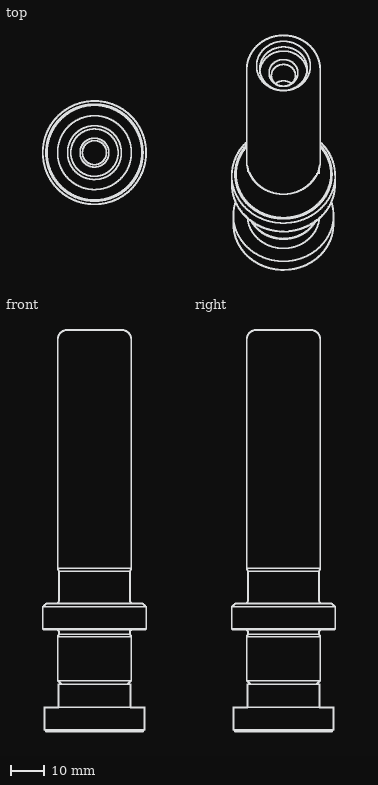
import cadquery as cq
import math

total_height = 120.0
head_height = 7.2
pin_bottom = 14.2
collar_bottom = 30.4
collar_top = 38.3

pin_radius = 11.0
relief_radius = 10.7
tip_round = 3.0
relief_top = 47.9
relief_shoulder = 0.8
root_round = 0.7
lower_relief_width = 1.3
lower_relief_shoulder = 0.7
lower_root_round = 0.5
end_chamfer = 1.1

collar_radius = 15.5
collar_top_chamfer = 1.0
collar_lip_width = 0.4
collar_lip_height = 0.1
collar_bottom_chamfer = 0.4

mouth_radius = pin_radius - tip_round
recess_radius = 7.1
mouth_taper_depth = 2.0
recess_depth = 5.2
bore_radius = 3.6
bore_mouth_radius = 4.3
bore_shoulder_radius = 4.0
bore_mouth_depth = 1.1
bore_taper_depth = 1.0
bore_depth = 14.4
drill_point_angle = 120.0

cap_head_radius = 15.0
cap_neck_radius = 10.8
cap_chamfer = 0.6

ARC_MIDPOINT = math.sqrt(0.5)


def make_guide_pin():
    """Revolve the collared pin, with its stepped blind hole, about Z."""
    lower_root = collar_bottom - lower_root_round
    lower_relief_bottom = collar_bottom - lower_relief_width
    lip_bottom = collar_top - collar_lip_height
    lip_radius = collar_radius - collar_top_chamfer
    recess_floor = total_height - recess_depth
    taper_top = recess_floor - bore_mouth_depth
    bore_floor = recess_floor - bore_depth
    point_depth = bore_radius / math.tan(math.radians(drill_point_angle / 2))
    tip_start = total_height - tip_round
    root_inset = root_round * (1 - ARC_MIDPOINT)
    lower_root_inset = lower_root_round * (1 - ARC_MIDPOINT)

    profile = (
        cq.Workplane("XZ")
        .moveTo(0, pin_bottom)
        .lineTo(pin_radius - end_chamfer, pin_bottom)
        .lineTo(pin_radius, pin_bottom + end_chamfer)
        .lineTo(pin_radius, lower_relief_bottom - lower_relief_shoulder)
        .lineTo(relief_radius, lower_relief_bottom)
        .lineTo(relief_radius, lower_root)
        .threePointArc(
            (relief_radius + lower_root_inset, collar_bottom - lower_root_inset),
            (relief_radius + lower_root_round, collar_bottom),
        )
        .lineTo(collar_radius - collar_bottom_chamfer, collar_bottom)
        .lineTo(collar_radius, collar_bottom + collar_bottom_chamfer)
        .lineTo(collar_radius, lip_bottom - collar_top_chamfer)
        .lineTo(lip_radius, lip_bottom)
        .lineTo(lip_radius - collar_lip_width, collar_top)
        .lineTo(relief_radius + root_round, collar_top)
        .threePointArc(
            (relief_radius + root_inset, collar_top + root_inset),
            (relief_radius, collar_top + root_round),
        )
        .lineTo(relief_radius, relief_top)
        .lineTo(pin_radius, relief_top + relief_shoulder)
        .lineTo(pin_radius, tip_start)
        .threePointArc(
            (mouth_radius + tip_round * ARC_MIDPOINT, tip_start + tip_round * ARC_MIDPOINT),
            (mouth_radius, total_height),
        )
        .lineTo(recess_radius, total_height - mouth_taper_depth)
        .lineTo(recess_radius, recess_floor)
        .lineTo(bore_mouth_radius, recess_floor)
        .lineTo(bore_shoulder_radius, taper_top)
        .lineTo(bore_radius, taper_top - bore_taper_depth)
        .lineTo(bore_radius, bore_floor)
        .lineTo(0, bore_floor - point_depth)
        .close()
    )
    return profile.revolve(360, (0, 0, 0), (0, 1, 0))


def make_end_cap():
    """Build the flanged cap that sits against the lower end of the pin."""
    head = cq.Workplane("XY").circle(cap_head_radius).extrude(head_height)
    head = head.faces("<Z").chamfer(cap_chamfer)
    neck = cq.Workplane("XY").circle(cap_neck_radius).extrude(pin_bottom)
    return head.union(neck)


guide_pin = make_guide_pin()
end_cap = make_end_cap()
result = cq.Compound.makeCompound([guide_pin.val(), end_cap.val()])